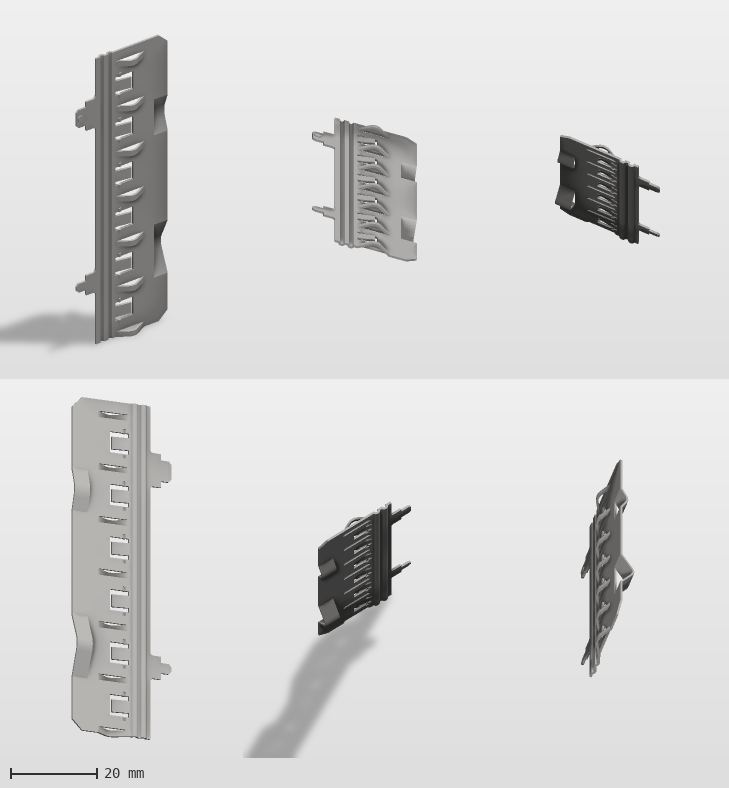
import cadquery as cq
import math

THICKNESS = 0.5
LENGTH = 81.28
WIDTH = 19.8
CORNER_CHAMFER = 2.5

TAB_REACH = 5.38
SHOULDER_REACH = 2.7
SHOULDER_STEP = 1.55
ROOT_FILLET = 0.8
TIP_CHAMFER = 0.7
UPPER_TAB_Z = 65.9
UPPER_TIP_WIDTH = 5.1
LOWER_TAB_Z = 17.75
LOWER_TIP_WIDTH = 2.5

BOSS_DIAMETER = 1.7
BOSS_HEIGHT = 0.25
BOSS_Y = -4.2

BEAD_INNER_RADIUS = 0.5
BEAD_CENTERS_Y = (1.74, 3.94)

PITCH = 12.83
BRIDGE_COUNT = 7
BRIDGE_WIDTH = 1.5
BRIDGE_Y = 9.4
BRIDGE_HEIGHT = 1.81
BRIDGE_ANGLE = 30
BRIDGE_RADIUS = 2.7

WINDOW_COUNT = BRIDGE_COUNT - 1
WINDOW_Y = 5.4
WINDOW_WIDTH = 4.9
WINDOW_HEIGHT = 5.1
TONGUE_HEIGHT = 3.0
TONGUE_RAMP = 3.65
TONGUE_TIP = 0.5
TONGUE_OFFSET = 0.5
NOTCH_START_Y = 6.12
NOTCH_PEAK_Y = 6.37
NOTCH_END_Y = 7.1
NOTCH_LENGTH = 1.0
NOTCH_DEPTH = 0.35

SPRING_WIDTH = 3.85
UPPER_SPRING_Z = 58.5
UPPER_SPRING_HEIGHT = 1.5
UPPER_SPRING_ANGLE = 19.7
UPPER_SPRING_RADIUS = 5.7
LOWER_SPRING_Z = 20.4
LOWER_SPRING_HEIGHT = 3.0
LOWER_SPRING_ANGLE = 24.2
LOWER_SPRING_RADIUS = 4.4


def box(x_range, y_range, z_range):
    """Axis-aligned block given by its limits on each axis."""
    sizes = [high - low for low, high in (x_range, y_range, z_range)]
    corner = (x_range[0], y_range[0], z_range[0])
    return cq.Workplane("XY").box(*sizes, centered=False).translate(corner)


def prism_along_z(points, z_low, height):
    """Prism with an (X, Y) polygon as section."""
    return cq.Workplane("XY").workplane(offset=z_low).polyline(points).close().extrude(height)


def mound(apex, radius, angle, base):
    """Sketch with two straight flanks tangent to a round crest; local Y is the height."""
    slope = math.radians(angle)
    crest_half = radius * math.sin(slope)
    crest_foot = apex - radius * (1 - math.cos(slope))
    base_half = crest_half + (crest_foot - base) / math.tan(slope)
    return (
        cq.Workplane("XY")
        .moveTo(-base_half, base)
        .lineTo(-crest_half, crest_foot)
        .threePointArc((0, apex), (crest_half, crest_foot))
        .lineTo(base_half, base)
        .close()
    )


def bowed_strip(height, radius, angle, width):
    """Outer body and inner cavity of a bowed strip; local Y = 0 is the sheet face it rises from."""
    body = mound(height, radius, angle, 0).extrude(width)
    cavity = mound(height - THICKNESS, radius - THICKNESS, angle, -THICKNESS).extrude(width)
    return body, cavity


def make_plate():
    plate = box((0, THICKNESS), (0, WIDTH), (0, LENGTH))
    return plate.edges("|X and >Y").chamfer(CORNER_CHAMFER)


def make_tab(z_center, tip_width):
    shoulder_width = tip_width + 2 * SHOULDER_STEP
    shoulder_half = shoulder_width / 2
    shoulder = box(
        (0, THICKNESS), (-SHOULDER_REACH, 0), (z_center - shoulder_half, z_center + shoulder_half)
    )
    tip_half = tip_width / 2
    tip = box((0, THICKNESS), (-TAB_REACH, 0), (z_center - tip_half, z_center + tip_half))
    tip = tip.edges("|X and <Y").chamfer(TIP_CHAMFER)
    tab = shoulder.union(tip)
    for side in (-1, 1):
        root_z = z_center + side * shoulder_half
        outer_z = root_z + side * ROOT_FILLET
        arc_inset = ROOT_FILLET * (1 - math.sqrt(0.5))
        root = (
            cq.Workplane("YZ")
            .moveTo(0, root_z)
            .lineTo(-ROOT_FILLET, root_z)
            .threePointArc((-arc_inset, root_z + side * arc_inset), (0, outer_z))
            .close()
            .extrude(THICKNESS)
        )
        tab = tab.union(root)
    return tab


def make_boss():
    return (
        cq.Workplane("YZ", origin=(THICKNESS, 0, 0))
        .center(BOSS_Y, UPPER_TAB_Z)
        .circle(BOSS_DIAMETER / 2)
        .extrude(BOSS_HEIGHT)
    )


def add_bead(part, y_center):
    def rod(radius):
        return cq.Workplane("XY").center(THICKNESS, y_center).circle(radius).extrude(LENGTH)

    outer_radius = BEAD_INNER_RADIUS + THICKNESS
    behind_sheet = box(
        (THICKNESS, THICKNESS + outer_radius),
        (y_center - outer_radius, y_center + outer_radius),
        (0, LENGTH),
    )
    ridge = rod(outer_radius).cut(behind_sheet)
    return part.union(ridge).cut(rod(BEAD_INNER_RADIUS))


def add_bridge(part, z_low):
    def place(shape):
        return shape.rotate((0, 0, 0), (0, 0, 1), -90).translate((THICKNESS, BRIDGE_Y, z_low))

    body, cavity = bowed_strip(BRIDGE_HEIGHT, BRIDGE_RADIUS, BRIDGE_ANGLE, BRIDGE_WIDTH)
    return part.union(place(body)).cut(place(cavity))


def add_spring(part, z_center, height, radius, angle):
    def place(shape):
        upright = shape.rotate((0, 0, 0), (1, 0, 0), 90)
        return upright.rotate((0, 0, 0), (0, 1, 0), -90).translate((0, WIDTH, z_center))

    body, cavity = bowed_strip(height, radius, angle, SPRING_WIDTH)
    return part.union(place(body)).cut(place(cavity))


def make_tongue(z_center):
    ramp_end = WINDOW_Y + TONGUE_RAMP
    tip_end = ramp_end + TONGUE_TIP
    section = [
        (0, WINDOW_Y),
        (TONGUE_OFFSET, ramp_end),
        (TONGUE_OFFSET, tip_end),
        (TONGUE_OFFSET + THICKNESS, tip_end),
        (TONGUE_OFFSET + THICKNESS, ramp_end),
        (THICKNESS, WINDOW_Y),
    ]
    return prism_along_z(section, z_center - TONGUE_HEIGHT / 2, TONGUE_HEIGHT)


def add_notch(part, z_low):
    groove = prism_along_z(
        [(0, NOTCH_START_Y), (NOTCH_DEPTH, NOTCH_PEAK_Y), (0, NOTCH_END_Y)], z_low, NOTCH_LENGTH
    )
    ridge = groove.translate((THICKNESS, 0, 0))
    return part.union(ridge).cut(groove)


def add_window(part, z_center):
    z_low = z_center - WINDOW_HEIGHT / 2
    z_high = z_center + WINDOW_HEIGHT / 2
    opening = box((0, THICKNESS), (WINDOW_Y, WINDOW_Y + WINDOW_WIDTH), (z_low, z_high))
    part = part.cut(opening).union(make_tongue(z_center))
    part = add_notch(part, z_low - NOTCH_LENGTH)
    return add_notch(part, z_high)


result = make_plate()
result = result.union(make_tab(UPPER_TAB_Z, UPPER_TIP_WIDTH))
result = result.union(make_tab(LOWER_TAB_Z, LOWER_TIP_WIDTH))
result = result.union(make_boss())

for bead_y in BEAD_CENTERS_Y:
    result = add_bead(result, bead_y)

for index in range(BRIDGE_COUNT):
    result = add_bridge(result, index * PITCH)

for index in range(WINDOW_COUNT):
    result = add_window(result, BRIDGE_WIDTH / 2 + (index + 0.5) * PITCH)

result = add_spring(
    result, UPPER_SPRING_Z, UPPER_SPRING_HEIGHT, UPPER_SPRING_RADIUS, UPPER_SPRING_ANGLE
)
result = add_spring(
    result, LOWER_SPRING_Z, LOWER_SPRING_HEIGHT, LOWER_SPRING_RADIUS, LOWER_SPRING_ANGLE
)